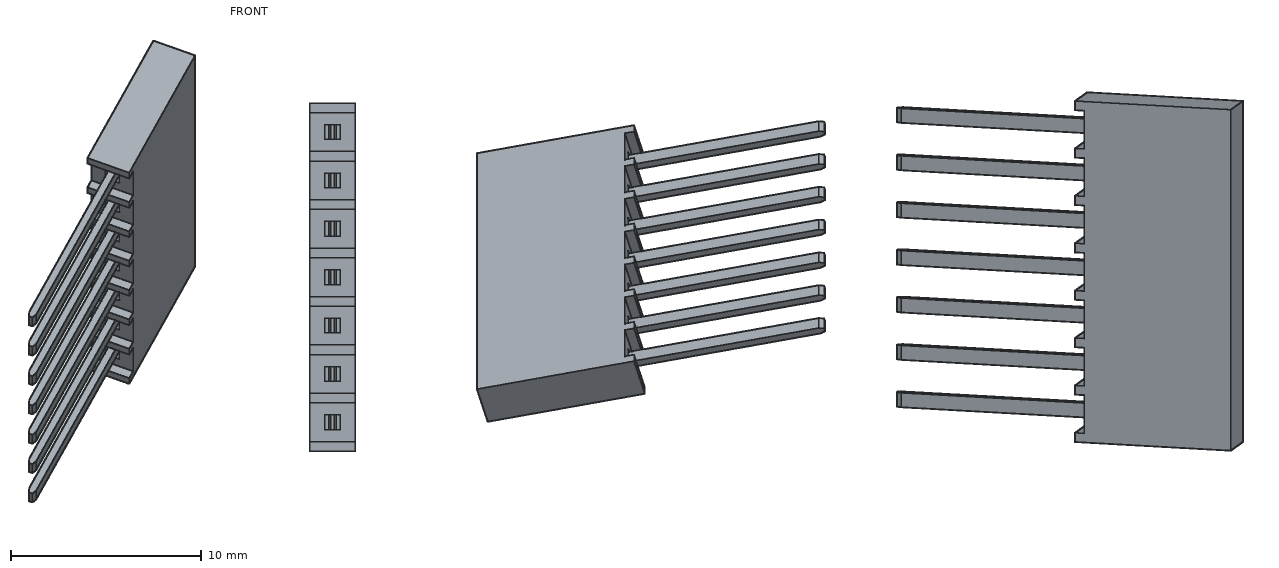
import cadquery as cq

housing_width = 2.4
housing_height = 18.3
housing_depth = 8.5
rib_depth = 0.5
rib_thickness = 0.5

pin_count = 7
pin_pitch = (housing_height - rib_thickness) / pin_count
total_length = 18.52
pin_width = 0.4
pin_height = 0.78
tip_width = 0.2
tip_length = 0.26

opening_width = 0.8
opening_height = pin_height
opening_depth = 0.37

rib_front = -housing_depth
face_front = rib_front + rib_depth
tip_front = -total_length
opening_floor = face_front + opening_depth


def block(width, height, y_front, y_rear, z_center):
    """Box centered on X, spanning y_front to y_rear."""
    length = y_rear - y_front
    center = (0, (y_front + y_rear) / 2, z_center)
    return cq.Workplane("XY").box(width, length, height).translate(center)


def pin(z_center):
    """Rectangular pin whose sides taper in X toward the tip."""
    taper_start = tip_front + tip_length
    outline = [
        (-pin_width / 2, opening_floor),
        (-pin_width / 2, taper_start),
        (-tip_width / 2, tip_front),
        (tip_width / 2, tip_front),
        (pin_width / 2, taper_start),
        (pin_width / 2, opening_floor),
    ]
    bottom = z_center - pin_height / 2
    return cq.Workplane("XY").workplane(offset=bottom).polyline(outline).close().extrude(pin_height)


pin_centers = [(i - (pin_count - 1) / 2) * pin_pitch for i in range(pin_count)]
rib_centers = [(i - pin_count / 2) * pin_pitch for i in range(pin_count + 1)]

result = block(housing_width, housing_height, face_front, 0, 0)

for z in rib_centers:
    result = result.union(block(housing_width, rib_thickness, rib_front, face_front, z))

for z in pin_centers:
    result = result.cut(block(opening_width, opening_height, face_front, opening_floor, z))
    result = result.union(pin(z))